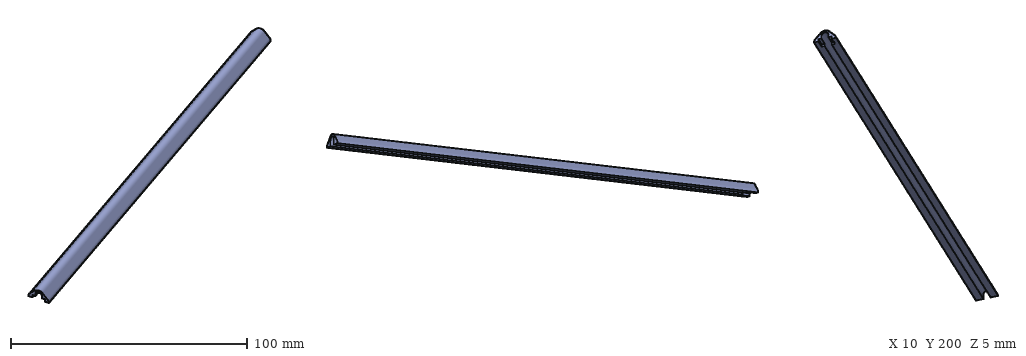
import cadquery as cq
import math

length = 200.0
width = 10.0
height = 5.0
crown_radius = 2.5
slope_angle = 43.0
flank_height = 1.5
slot_width = 3.2
slot_height = 4.0
notch_width = 6.0
notch_height = 1.2
notch_length = 4.0

front_y = -length / 2
back_y = length / 2
half_width = width / 2
crown_center_z = height - crown_radius


def crown_point(angle):
    """Point on the crown arc, with the angle in degrees from +X."""
    turn = math.radians(angle)
    return crown_radius * math.cos(turn), crown_center_z + crown_radius * math.sin(turn)


crown_end_x, crown_end_z = crown_point(slope_angle)
slope_end_x = crown_end_x + (crown_end_z - flank_height) * math.tan(math.radians(slope_angle))


def make_body():
    """Solid bar with a rounded crown, straight slopes and rounded flanks."""
    right_half = (
        cq.Workplane("XZ", origin=(0, back_y, 0))
        .moveTo(0, height)
        .threePointArc(crown_point((90 + slope_angle) / 2), crown_point(slope_angle))
        .lineTo(slope_end_x, flank_height)
        .tangentArcPoint((half_width, 0), relative=False)
        .lineTo(0, 0)
        .close()
        .extrude(length)
    )
    return right_half.union(right_half.mirror("YZ")).clean()


def make_slot():
    """Round-topped slot running the full length, open at the bottom."""
    slot_radius = slot_width / 2
    spring_z = slot_height - slot_radius
    return (
        cq.Workplane("XZ", origin=(0, back_y, 0))
        .moveTo(-slot_radius, 0)
        .lineTo(slot_radius, 0)
        .lineTo(slot_radius, spring_z)
        .threePointArc((0, slot_height), (-slot_radius, spring_z))
        .close()
        .extrude(length)
    )


def make_notch():
    """Notch that widens the bottom of the slot at the front end."""
    return cq.Workplane("XY", origin=(0, front_y + notch_length / 2, 0)).box(
        notch_width, notch_length, notch_height, centered=(True, True, False)
    )


result = make_body().cut(make_slot()).cut(make_notch())